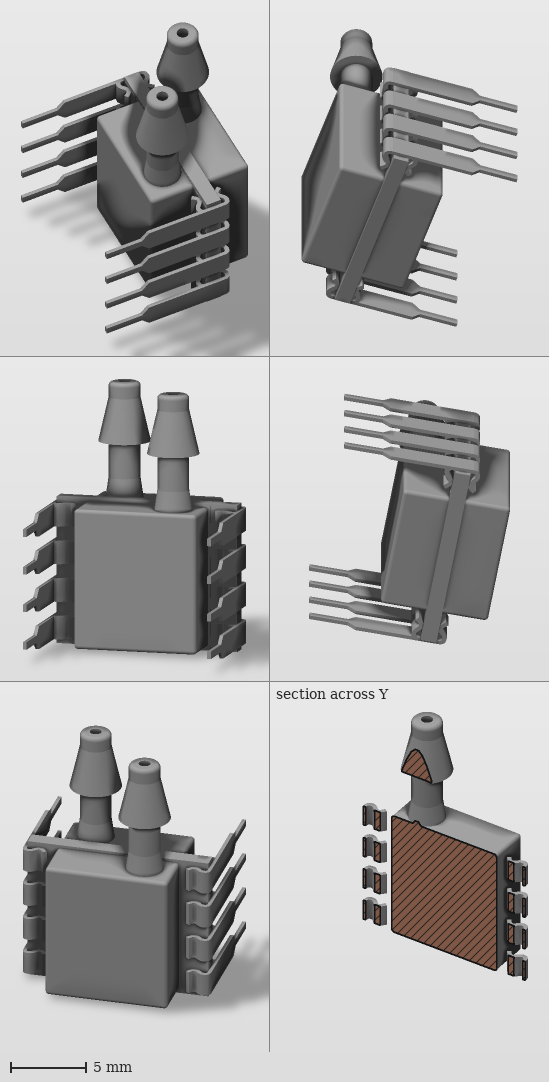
import cadquery as cq
import math


BOARD_WIDTH = 12.45
BOARD_THICKNESS = 1.03
BOARD_HEIGHT = 9.91
BOARD_MID_Z = BOARD_HEIGHT / 2
BOARD_FRONT_Y = -BOARD_THICKNESS / 2

HOUSING_WIDTH = 8.41
HOUSING_DEPTH = 3.09
HOUSING_MARGIN = 0.24
HOUSING_HEIGHT = BOARD_HEIGHT - 2 * HOUSING_MARGIN
HOUSING_FILLET = 0.25

PORT_OFFSET_X = 2.18
PORT_OFFSET_Y = 1.30
PORT_HEIGHT = 7.81
FLARE_RADIUS = 1.265
FLARE_HEIGHT = 1.37
TUBE_RADIUS = 1.06
BARB_RADIUS = 1.75
BARB_BOTTOM = 3.80
BARB_TOP = 6.77
TIP_FILLET = 0.28
BORE_RADIUS = 0.4

LEADS_PER_SIDE = 4
LEAD_PITCH = 2.54
LEAD_THICKNESS = 0.25
LEAD_WIDTH = 1.55
LEAD_TIP_WIDTH = 0.5
LEAD_REACH = 7.53
LEAD_TAPER_START = 4.40
LEAD_TAPER_LENGTH = (LEAD_WIDTH - LEAD_TIP_WIDTH) / 2
CLIP_CREST = 0.67
ARCH_RADIUS = 0.50
CLIP_THICKNESS = 0.30
CLIP_SINK = 0.02
CLIP_CONTACT_INSET = 1.13
CLIP_SLOPE = 45
CLIP_TIP_INSET = 1.565
CLIP_TIP_RISE = 0.50
CLIP_TAIL_SLOPE = 52

LAYER_THICKNESS = 0.02
LAYER_EDGE_GAP = 0.12
PAD_WIDTH = 1.53
PAD_HEIGHT = 1.70
LAYER_GAP = 0.17
PANEL_WIDTH = BOARD_WIDTH - 2 * (LAYER_EDGE_GAP + PAD_WIDTH + LAYER_GAP)
PANEL_HEIGHT = 9.66
FINGER_HEIGHT = LEAD_PITCH - PAD_HEIGHT - 2 * LAYER_GAP
TRACE_HEIGHT = 0.73
TRACE_THICKNESS = 0.04
TRACE_SIDES = (-1, -1, 1, -1)

lead_heights = [BOARD_MID_Z + (i - (LEADS_PER_SIDE - 1) / 2) * LEAD_PITCH for i in range(LEADS_PER_SIDE)]
finger_heights = [z + LEAD_PITCH / 2 for z in lead_heights[:-1]]


def make_port():
    """Barbed hose port standing on Z = 0, with a blind bore as deep as the port."""
    spigot = (
        cq.Workplane("XZ")
        .lineTo(FLARE_RADIUS, 0)
        .lineTo(TUBE_RADIUS, FLARE_HEIGHT)
        .lineTo(TUBE_RADIUS, BARB_BOTTOM)
        .lineTo(BARB_RADIUS, BARB_BOTTOM)
        .lineTo(TUBE_RADIUS, BARB_TOP)
        .lineTo(TUBE_RADIUS, PORT_HEIGHT)
        .lineTo(0, PORT_HEIGHT)
        .close()
        .revolve(360, (0, 0, 0), (0, 1, 0))
        .faces(">Z")
        .edges()
        .fillet(TIP_FILLET)
    )
    return spigot.faces(">Z").workplane().circle(BORE_RADIUS).cutBlind(-PORT_HEIGHT)


def make_housing():
    """Housing facing -Y, with its back in the plane Y = 0 and its port towards +X."""
    block = (
        cq.Workplane("XY")
        .box(HOUSING_WIDTH, HOUSING_DEPTH, HOUSING_HEIGHT, centered=(True, False, False))
        .translate((0, -HOUSING_DEPTH, HOUSING_MARGIN))
        .edges("not >Y")
        .fillet(HOUSING_FILLET)
    )
    top = HOUSING_MARGIN + HOUSING_HEIGHT
    return block.union(make_port().translate((PORT_OFFSET_X, -PORT_OFFSET_Y, top)))


def make_clip_arm():
    """Front arm of a right-hand lead clip: an arch, a contact bend and a raised tail."""
    half = CLIP_THICKNESS / 2
    crest = (ARCH_RADIUS, CLIP_CREST - half)
    contact = (CLIP_CONTACT_INSET, half - CLIP_SINK)
    slope = ((crest[0] + contact[0]) / 2, (crest[1] + contact[1]) / 2)

    stations = [
        (LEAD_THICKNESS / 2, CLIP_CREST - ARCH_RADIUS, 90, LEAD_THICKNESS / 2),
        (*crest, 0, half),
        (*slope, -CLIP_SLOPE, half),
        (*contact, 0, half),
        (CLIP_TIP_INSET, CLIP_TIP_RISE, CLIP_TAIL_SLOPE, half),
    ]
    outer_points = []
    inner_points = []
    tangents = []
    for inset, forward, heading, half_thickness in stations:
        inward_part = math.cos(math.radians(heading))
        forward_part = math.sin(math.radians(heading))
        x = BOARD_WIDTH / 2 + LEAD_THICKNESS - inset
        y = BOARD_FRONT_Y - forward
        normal = (half_thickness * forward_part, -half_thickness * inward_part)
        outer_points.append((x + normal[0], y + normal[1]))
        inner_points.append((x - normal[0], y - normal[1]))
        tangents.append((-inward_part, -forward_part))

    back_tangents = [(-dx, -dy) for dx, dy in reversed(tangents)]
    return (
        cq.Workplane("XY", origin=(0, 0, -LEAD_WIDTH / 2))
        .moveTo(*outer_points[0])
        .spline(outer_points, tangents=tangents)
        .lineTo(*inner_points[-1])
        .spline(inner_points[::-1], tangents=back_tangents)
        .close()
        .extrude(LEAD_WIDTH)
    )


def make_lead():
    """Right-hand lead centred on Z = 0: a flat blade along the board edge and two clip arms."""
    blade_back = BOARD_THICKNESS / 2 + CLIP_CREST - ARCH_RADIUS
    taper_start = BOARD_FRONT_Y - LEAD_TAPER_START
    taper_end = taper_start - LEAD_TAPER_LENGTH
    upper_edge = [
        (blade_back, LEAD_WIDTH / 2),
        (taper_start, LEAD_WIDTH / 2),
        (taper_end, LEAD_TIP_WIDTH / 2),
        (BOARD_FRONT_Y - LEAD_REACH, LEAD_TIP_WIDTH / 2),
    ]
    lower_edge = [(y, -z) for y, z in reversed(upper_edge)]
    blade = (
        cq.Workplane("YZ", origin=(BOARD_WIDTH / 2, 0, 0))
        .polyline(upper_edge + lower_edge)
        .close()
        .extrude(LEAD_THICKNESS)
    )
    front_arm = make_clip_arm()
    return blade.union(front_arm).union(front_arm.mirror("XZ"))


def layer_patch(x_min, x_max, z_mid, height, thickness=LAYER_THICKNESS):
    """Flat rectangular patch raised from the front face of the board."""
    return (
        cq.Workplane("XY")
        .box(x_max - x_min, thickness, height)
        .translate(((x_min + x_max) / 2, BOARD_FRONT_Y - thickness / 2, z_mid))
    )


def add_front_layer(board):
    """Add the ground panel with its fingers, the lead pads and the right-hand traces."""
    outer_x = BOARD_WIDTH / 2 - LAYER_EDGE_GAP
    pad_inner_x = outer_x - PAD_WIDTH

    board = board.union(layer_patch(-PANEL_WIDTH / 2, PANEL_WIDTH / 2, BOARD_MID_Z, PANEL_HEIGHT))
    for z in finger_heights:
        board = board.union(layer_patch(-outer_x, outer_x, z, FINGER_HEIGHT))

    for z, side in zip(lead_heights, TRACE_SIDES):
        board = board.union(layer_patch(-outer_x, -pad_inner_x, z, PAD_HEIGHT))
        board = board.union(layer_patch(pad_inner_x, outer_x, z, PAD_HEIGHT))
        trace_z = z + side * (PAD_HEIGHT - TRACE_HEIGHT) / 2
        trace = layer_patch(HOUSING_WIDTH / 2, pad_inner_x, trace_z, TRACE_HEIGHT, TRACE_THICKNESS)
        board = board.union(trace)
    return board


def make_board_assembly():
    """Board with its front layer, rear housing and eight leads, all one solid."""
    board_size = (BOARD_WIDTH, BOARD_THICKNESS, BOARD_HEIGHT)
    board = cq.Workplane("XY").box(*board_size, centered=(True, True, False))
    board = add_front_layer(board)

    rear_housing = make_housing().translate((0, BOARD_FRONT_Y, 0)).rotate((0, 0, 0), (0, 0, 1), 180)
    board = board.union(rear_housing)

    right_lead = make_lead()
    left_lead = right_lead.mirror("YZ")
    for z in lead_heights:
        board = board.union(right_lead.translate((0, 0, z)))
        board = board.union(left_lead.translate((0, 0, z)))
    return board


board_assembly = make_board_assembly()

front_housing = make_housing().translate((0, BOARD_FRONT_Y - LAYER_THICKNESS, 0))

result = cq.Compound.makeCompound([*board_assembly.solids().vals(), *front_housing.solids().vals()])